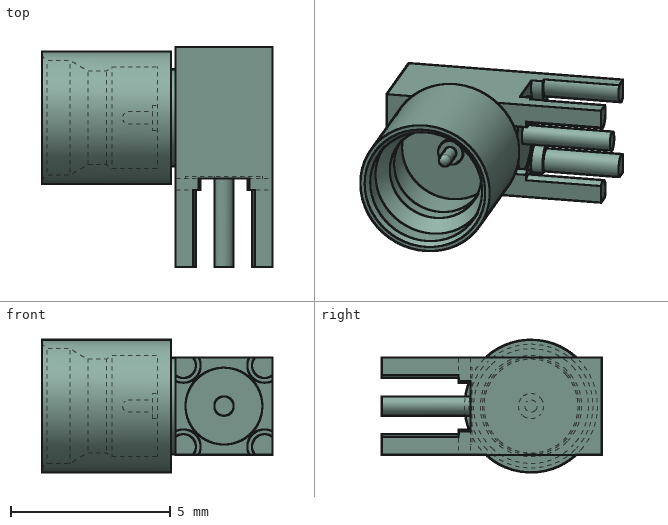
import cadquery as cq

TOTAL_LENGTH = 7.24
TOTAL_DEPTH = 6.91

SHELL_DIAMETER = 4.17
SHELL_LENGTH = 4.055
NECK_DIAMETER = 3.05
MOUTH_DIAMETER = 3.89
ENTRY_DIAMETER = 3.605
BORE_DIAMETER = 2.95
INNER_DIAMETER = 3.18
MOUTH_CHAMFER_END = 0.16
TAPER_START = 0.88
TAPER_END = 1.44
FLARE_START = 2.03
FLARE_END = 2.2
BORE_DEPTH = 3.62

CONTACT_DIAMETER = 0.385
CONTACT_TIP_DEPTH = 2.535
CONTACT_BASE_DIAMETER = 0.79
CONTACT_BASE_HEIGHT = 0.145

BODY_SIDE = 3.055
BODY_BACK = 2.22
LEG_LENGTH = 2.42
COLLAR_LENGTH = 0.36
LEG_DIAMETER = 0.79
COLLAR_DIAMETER = 1.085
LEG_INSET = 0.25
INSULATOR_DIAMETER = 2.41
INSULATOR_RECESS = 0.06
PIN_DIAMETER = 0.61

body_start = TOTAL_LENGTH - BODY_SIDE
body_center_x = TOTAL_LENGTH - BODY_SIDE / 2
leg_end = BODY_BACK - TOTAL_DEPTH
collar_end = leg_end + LEG_LENGTH
body_front = collar_end + COLLAR_LENGTH


def cylinder_x(diameter, start, end):
    """Cylinder on the socket axis between two X positions."""
    return cq.Workplane("YZ", origin=(start, 0, 0)).circle(diameter / 2).extrude(end - start)


def cylinder_y(diameter, x, z, start, end):
    """Cylinder parallel to Y, running from start toward -Y."""
    return cq.Workplane("XZ", origin=(x, start, z)).circle(diameter / 2).extrude(start - end)


def box_y(start, end):
    """Square body section running from start toward -Y."""
    section = cq.Workplane("XZ", origin=(body_center_x, start, 0))
    return section.rect(BODY_SIDE, BODY_SIDE).extrude(start - end)


def make_bore():
    """Stepped, tapered socket cavity that flares wider behind its throat."""
    profile = [
        (0, 0),
        (0, MOUTH_DIAMETER / 2),
        (MOUTH_CHAMFER_END, ENTRY_DIAMETER / 2),
        (TAPER_START, ENTRY_DIAMETER / 2),
        (TAPER_END, BORE_DIAMETER / 2),
        (FLARE_START, BORE_DIAMETER / 2),
        (FLARE_END, INNER_DIAMETER / 2),
        (BORE_DEPTH, INNER_DIAMETER / 2),
        (BORE_DEPTH, 0),
    ]
    return cq.Workplane("XY").polyline(profile).close().revolve(360, (0, 0, 0), (1, 0, 0))


def make_contact():
    """Round-tipped mating pin standing on a low shoulder."""
    radius = CONTACT_DIAMETER / 2
    tip_center = CONTACT_TIP_DEPTH + radius
    pin = cylinder_x(CONTACT_DIAMETER, tip_center, SHELL_LENGTH)
    tip = cq.Workplane("XY").sphere(radius).translate((tip_center, 0, 0))
    base = cylinder_x(CONTACT_BASE_DIAMETER, BORE_DEPTH - CONTACT_BASE_HEIGHT, SHELL_LENGTH)
    return pin.union(tip).union(base)


def make_legs():
    """Four corner legs with collars, trimmed flush with the body sides."""
    offset = BODY_SIDE / 2 - LEG_INSET
    legs = cq.Workplane("XY")
    for x_side in (-1, 1):
        for z_side in (-1, 1):
            x = body_center_x + x_side * offset
            z = z_side * offset
            legs = legs.union(cylinder_y(LEG_DIAMETER, x, z, body_front, leg_end))
            legs = legs.union(cylinder_y(COLLAR_DIAMETER, x, z, body_front, collar_end))
    return legs.intersect(box_y(body_front, leg_end))


shell = cylinder_x(SHELL_DIAMETER, 0, SHELL_LENGTH)
neck = cylinder_x(NECK_DIAMETER, SHELL_LENGTH, body_start)
socket = shell.union(neck).cut(make_bore()).union(make_contact())

recess_floor = body_front + INSULATOR_RECESS
body = box_y(BODY_BACK, body_front)
body = body.cut(cylinder_y(INSULATOR_DIAMETER, body_center_x, 0, recess_floor, body_front))
center_pin = cylinder_y(PIN_DIAMETER, body_center_x, 0, recess_floor, leg_end)

result = socket.union(body).union(make_legs()).union(center_pin)